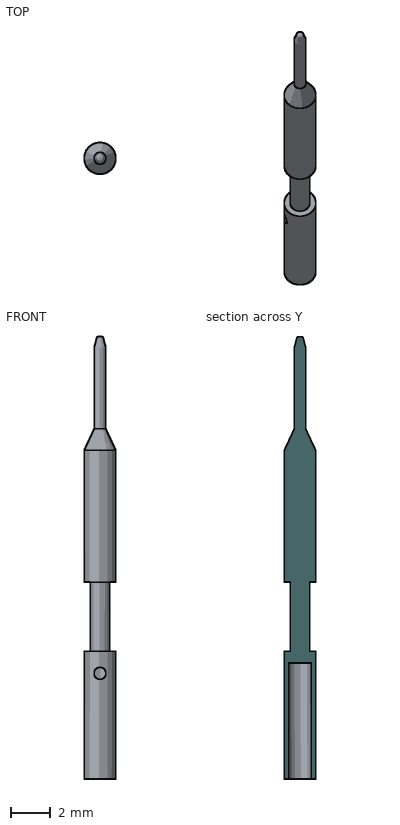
import cadquery as cq

barrel_top = 6.45
body_bottom = 9.92
body_top = 16.57
pin_bottom = 17.65
pin_top = 21.75
tip_bottom = 21.85
tip_cone_top = 22.2
overall_height = 22.3

body_radius = 1.6 / 2
neck_radius = 1.0 / 2
pin_radius = 0.6 / 2
tip_base_radius = 0.27
tip_cone_end_radius = 0.18
tip_end_radius = 0.1

end_band_height = 0.6
bore_radius = 1.12 / 2
bore_depth = barrel_top - end_band_height
inspection_hole_radius = 0.6 / 2
inspection_hole_height = 5.33


def turned_contact():
    """Solid of revolution: barrel, neck, body, shoulder cone, pin and rounded conical tip."""
    return (
        cq.Workplane("XZ")
        .polyline([
            (0, 0),
            (body_radius, 0),
            (body_radius, barrel_top),
            (neck_radius, barrel_top),
            (neck_radius, body_bottom),
            (body_radius, body_bottom),
            (body_radius, body_top),
            (pin_radius, pin_bottom),
            (pin_radius, pin_top),
        ])
        .tangentArcPoint((tip_base_radius, tip_bottom), relative=False)
        .lineTo(tip_cone_end_radius, tip_cone_top)
        .tangentArcPoint((tip_end_radius, overall_height), relative=False)
        .lineTo(0, overall_height)
        .close()
        .revolve(360, (0, 0, 0), (0, 1, 0))
    )


def wire_bore():
    """Blind bore that opens at the bottom end."""
    return cq.Workplane("XY").circle(bore_radius).extrude(bore_depth)


def inspection_hole():
    """Radial hole through the -Y wall of the barrel into the bore."""
    return (
        cq.Workplane("XZ")
        .center(0, inspection_hole_height)
        .circle(inspection_hole_radius)
        .extrude(body_radius)
    )


result = turned_contact().cut(wire_bore()).cut(inspection_hole())